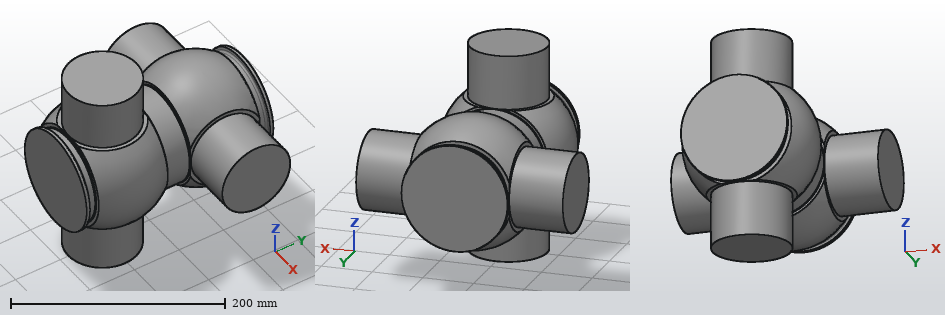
import cadquery as cq
import math

total_length = 209.5
ball_spacing = 104.8
ball_diameter = 130.1
ball_radius = ball_diameter / 2
front_ball_y = -ball_spacing / 2
rear_ball_y = ball_spacing / 2

end_flat_offset = 38.8
pipe_flat_offset = 49.2

pipe_diameter = 76.3
pipe_length = 203.9

neck_diameter = 2 * pipe_flat_offset
neck_collar_diameter = 99.1
neck_collar_width = 1.0

ferrule_diameter = 95.1
flange_diameter = 104.5
flange_thickness = 3.8
flange_back_rise = 0.6
flange_fillet_radius = 2.0
weld_ring_diameter = 96.4
weld_ring_width = 1.0


def cylinder_along_y(diameter, y_start, y_end):
    """Solid cylinder on the Y axis between two positions."""
    return cq.Workplane("XZ", origin=(0, y_start, 0)).circle(diameter / 2).extrude(y_start - y_end)


def valve_body(ball_y, pipe_plane):
    """Ball with flats at both ends and at both pipe exits, plus its through pipe."""
    ball = cq.Workplane("XY").sphere(ball_radius)
    end_slab = cq.Workplane("XY").box(ball_diameter, 2 * end_flat_offset, ball_diameter)
    pipe_slab = cq.Workplane(pipe_plane).box(ball_diameter, ball_diameter, 2 * pipe_flat_offset)
    pipe = cq.Workplane(pipe_plane).circle(pipe_diameter / 2).extrude(pipe_length / 2, both=True)
    return ball.intersect(end_slab).intersect(pipe_slab).union(pipe).translate((0, ball_y, 0))


def front_ferrule():
    """Turned end piece: weld ring, tube, fillet and flange, ending at the front face."""
    face_y = -total_length / 2
    flange_back_y = face_y + flange_thickness
    fillet_start_y = flange_back_y + flange_back_rise
    fillet_end_y = fillet_start_y + flange_fillet_radius
    tube_radius = ferrule_diameter / 2
    arc_mid_offset = flange_fillet_radius * (1 - math.sqrt(0.5))
    ball_face_y = front_ball_y - end_flat_offset
    weld_y = ball_face_y - weld_ring_width
    return (
        cq.Workplane("XY")
        .moveTo(0, face_y)
        .lineTo(flange_diameter / 2, face_y)
        .lineTo(flange_diameter / 2, flange_back_y)
        .lineTo(tube_radius + flange_fillet_radius, fillet_start_y)
        .threePointArc(
            (tube_radius + arc_mid_offset, fillet_start_y + arc_mid_offset),
            (tube_radius, fillet_end_y),
        )
        .lineTo(tube_radius, weld_y)
        .lineTo(weld_ring_diameter / 2, weld_y)
        .lineTo(weld_ring_diameter / 2, ball_face_y)
        .lineTo(0, ball_face_y)
        .close()
        .revolve(360, (0, 0, 0), (0, 1, 0))
    )


def neck_with_collars():
    """Neck between the facing ball flats, with a thin collar against each ball."""
    front_y = front_ball_y + end_flat_offset
    rear_y = rear_ball_y - end_flat_offset
    neck = cylinder_along_y(neck_diameter, front_y, rear_y)
    front_collar = cylinder_along_y(neck_collar_diameter, front_y, front_y + neck_collar_width)
    rear_collar = cylinder_along_y(neck_collar_diameter, rear_y - neck_collar_width, rear_y)
    return neck.union(front_collar).union(rear_collar)


ferrule = front_ferrule()

result = (
    valve_body(front_ball_y, "XY")
    .union(valve_body(rear_ball_y, "YZ"))
    .union(neck_with_collars())
    .union(ferrule)
    .union(ferrule.mirror("XZ"))
)